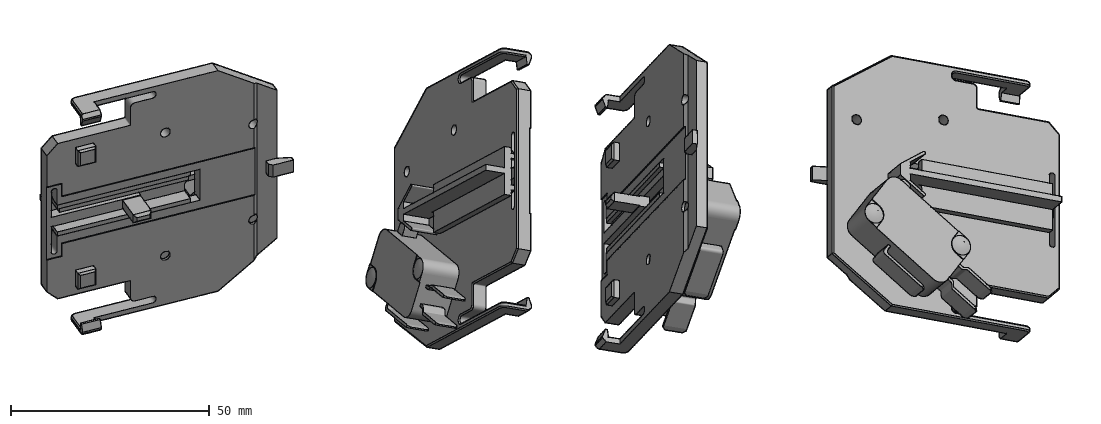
import cadquery as cq
import math


PLATE_THICK = 3.95
PLATE_LENGTH = 63.3
PLATE_HALF_HEIGHT = 34.2
WIDE_START_Y = 46.8
TAPERED_END_HALF = 22.9
NECK_LENGTH = 22.9
NECK_HALF = 24.05
NECK_CORNER = 3.0
NECK_FILLET = 0.3
SHOULDER_ROUND = 1.3
EDGE_BREAK = 0.35

ARM_THICK = 1.45
ARM_END_Y = 7.85
ARM_SLOT_WIDTH = 2.0
ARM_SLOT_END_Y = 29.9
LEG_WIDTH = 5.1
LEG_REACH = 8.6
LEG_CORNER_ROUND = 1.6
HOOK_START_X = 7.0
HOOK_DROP = 2.0
HOOK_BEVEL = 1.0
HOOK_TIP_START_X = 7.3
HOOK_TIP_END_X = 7.85

CHANNEL_HALF = 4.8
CHANNEL_END_Y = 42.0
CHANNEL_CHAMFER = 1.0
END_SLOT_WIDTH = 1.6
END_SLOT_HALF = 10.1
END_SLOT_Y = 2.15
TONGUE_HALF = 1.45
TONGUE_FRONT_X = 1.0

BACK_RECESS = 0.3
BACK_RECESS_HALF = 7.3
BACK_RECESS_WIDE_HALF = 11.25
BACK_RECESS_WIDE_LENGTH = 4.15
THIN_END_DEPTH = 0.75
THIN_END_Y = 57.8
THIN_END_RAMP = 1.1
PEG_Y = 23.3
PEG_WIDTH = 4.9
PEG_HALF_HEIGHT = 1.25
PEG_END_X = 11.2
PEG_CHAMFER = 0.7
STOP_SIZE = 4.9
STOP_Z = 19.0
STOP_HEIGHT = 2.0
STOP_CHAMFER = 0.5
TAB_END_Y = 66.8
TAB_HALF_HEIGHT = 1.9
TAB_END_X = 5.55
TAB_START_Y = 60.25
TAB_SLOPE_X = 1.1
TAB_CORNER = 0.9

SWITCH_TILT = 35.0
SWITCH_PIN_Y = 56.6
SWITCH_PIN_Z = -14.8
PIN_SPACING_U = 22.25
PIN_SPACING_V = 10.3
PIN_MARGIN = 2.7
CASE_THICK = 10.1
CASE_ROUND = 3.0
BOSS_HEIGHT = 0.2
BUTTON_START_U = 0.55
BUTTON_WIDTH = 3.0
BUTTON_TOP_V = 15.8
BUTTON_ROUND = 1.0
BUTTON_NEAR = 3.1
BUTTON_FAR = 7.15

TERMINAL_NEAR = 1.95
TERMINAL_FAR = 8.2
TERMINAL_THICK = 0.75
TERMINAL_END_U = 36.0
JOG_START_U = 26.5
JOG_LENGTH = 1.05
TIP_CHAMFER = 0.75
TIP_TAPER_LENGTH = 1.3
TIP_TAPER_DEPTH = 0.2
JOG_BEND_ROUND = 0.4
NC_ROOT_V = 6.5
NC_JOG = 1.0
NO_ROOT_V = 1.45
NO_JOG = -1.3
COM_LEG_U = 7.9
COM_END_U = 22.1
COM_LOWER_V = -5.55
COM_BEND_ROUND = 0.8

PIN_RADIUS = 1.3
RIVET_HEAD_RADIUS = 2.65
RIVET_HEAD_HEIGHT = 0.5

SLIDER_START_Y = 3.0
FLANGE_END_Y = 39.4
FLANGE_HALF = 6.3
FLANGE_THICK = 1.95
SLIDER_HEIGHT = 7.35
RIB_HALF = 0.75
RIB_FILLET = 0.8
RUNNER_WIDTH = 1.25
RUNNER_SHOULDER_DEPTH = 2.5
RUNNER_SHOULDER_Y = 4.1
HEAD_TIP_Y = 47.9
HEAD_TIP_HALF = 1.5
HEAD_INNER_Y = 45.15
HEAD_ARM_END_Y = 41.25
HEAD_ARM_THICK = 0.75
HEAD_ARM_ROUND = 0.3

MARGIN = 0.1

TILT = math.radians(SWITCH_TILT)
ARM_INNER_Z = PLATE_HALF_HEIGHT - ARM_THICK
ARM_SLOT_LOWER_Z = ARM_INNER_Z - ARM_SLOT_WIDTH
PIN_POINTS = [(0, 0), (PIN_SPACING_U, PIN_SPACING_V)]


def box(x_range, y_range, z_range):
    sizes = [high - low for low, high in (x_range, y_range, z_range)]
    return cq.Workplane().box(*sizes, centered=False).translate((x_range[0], y_range[0], z_range[0]))


def mirrored_pair(shape):
    """The shape together with its mirror image below Z = 0."""
    return shape.union(shape.mirror("XY"))


def yz_plane(x=0.0):
    """Sketch plane with axes Y and Z, extruding towards +X."""
    return cq.Workplane("YZ", origin=(x, 0, 0))


def switch_plane(height=0.0):
    """Sketch plane at a height above the plate, with U along the switch, extruding towards -X."""
    along = (0, -math.cos(TILT), -math.sin(TILT))
    return cq.Workplane(cq.Plane((-height, SWITCH_PIN_Y, SWITCH_PIN_Z), along, (-1, 0, 0)))


def nearest_in_switch(u, v, height):
    """Selector for the item nearest to a point given in the switch frame."""
    point = switch_plane().plane.toWorldCoords((u, v, height))
    return cq.selectors.NearestToPointSelector(point.toTuple())


def pin_cylinders(bottom, top):
    return switch_plane(bottom).pushPoints(PIN_POINTS).circle(PIN_RADIUS).extrude(top - bottom)


def arm_leg():
    """Leg that turns an arm towards +X, ending in an inward snap hook."""
    tip_z = ARM_INNER_Z - HOOK_DROP
    profile = [
        (0, ARM_INNER_Z),
        (0, PLATE_HALF_HEIGHT),
        (LEG_REACH - HOOK_BEVEL, PLATE_HALF_HEIGHT),
        (LEG_REACH, PLATE_HALF_HEIGHT - HOOK_BEVEL),
        (LEG_REACH, ARM_INNER_Z),
        (HOOK_TIP_END_X, tip_z),
        (HOOK_TIP_START_X, tip_z),
        (HOOK_START_X, ARM_INNER_Z),
    ]
    return cq.Workplane("XZ", origin=(0, ARM_END_Y, 0)).polyline(profile).close().extrude(-LEG_WIDTH)


def plate_blank():
    """Plate outline with its two arms, edges broken on the front."""
    end_round = ARM_SLOT_WIDTH / 2
    slot_centre_y = ARM_SLOT_END_Y - end_round
    upper_half = (
        yz_plane()
        .moveTo(0, 0)
        .lineTo(0, NECK_HALF - NECK_CORNER)
        .lineTo(NECK_CORNER, NECK_HALF)
        .lineTo(NECK_LENGTH, NECK_HALF)
        .lineTo(NECK_LENGTH, ARM_SLOT_LOWER_Z - SHOULDER_ROUND)
        .radiusArc((NECK_LENGTH + SHOULDER_ROUND, ARM_SLOT_LOWER_Z), SHOULDER_ROUND)
        .lineTo(slot_centre_y, ARM_SLOT_LOWER_Z)
        .threePointArc((ARM_SLOT_END_Y, ARM_SLOT_LOWER_Z + end_round), (slot_centre_y, ARM_INNER_Z))
        .lineTo(ARM_END_Y, ARM_INNER_Z)
        .lineTo(ARM_END_Y, PLATE_HALF_HEIGHT)
        .lineTo(WIDE_START_Y, PLATE_HALF_HEIGHT)
        .lineTo(PLATE_LENGTH, TAPERED_END_HALF)
        .lineTo(PLATE_LENGTH, 0)
        .close()
        .extrude(PLATE_THICK)
    )
    neck_corner = cq.selectors.NearestToPointSelector((PLATE_THICK / 2, NECK_LENGTH, NECK_HALF))
    upper_half = upper_half.edges(neck_corner).fillet(NECK_FILLET).union(arm_leg())
    arm_corner = cq.selectors.NearestToPointSelector((0, ARM_END_Y, PLATE_HALF_HEIGHT - ARM_THICK / 2))
    upper_half = upper_half.edges(arm_corner).fillet(LEG_CORNER_ROUND)
    blank = mirrored_pair(upper_half).clean()
    bend_y = ARM_END_Y + LEG_CORNER_ROUND
    bend_lines = cq.selectors.BoxSelector(
        (-MARGIN, bend_y - MARGIN, -PLATE_HALF_HEIGHT), (MARGIN, bend_y + MARGIN, PLATE_HALF_HEIGHT)
    )
    sharp_edges = cq.selectors.SubtractSelector(cq.StringSyntaxSelector("<X"), bend_lines)
    return blank.faces("<X").edges().edges(sharp_edges).chamfer(EDGE_BREAK)


def guide_cutouts():
    """Chamfered slider channel opening into the rounded end slot."""
    top = CHANNEL_HALF + CHANNEL_CHAMFER
    profile = [
        (0, -top),
        (0, top),
        (CHANNEL_CHAMFER, CHANNEL_HALF),
        (PLATE_THICK, CHANNEL_HALF),
        (PLATE_THICK, -CHANNEL_HALF),
        (CHANNEL_CHAMFER, -CHANNEL_HALF),
    ]
    channel_length = CHANNEL_END_Y - END_SLOT_Y
    channel = cq.Workplane("XZ", origin=(0, END_SLOT_Y, 0)).polyline(profile).close().extrude(-channel_length)
    slot = (
        yz_plane()
        .center(END_SLOT_Y, 0)
        .slot2D(2 * END_SLOT_HALF, END_SLOT_WIDTH, 90)
        .extrude(PLATE_THICK)
    )
    return channel.union(slot)


def back_cutouts():
    """Shallow recess along the back and the thinned far end with its ramp."""
    floor_x = PLATE_THICK - BACK_RECESS
    depth = (floor_x, PLATE_THICK)
    long_recess = box(depth, (0, PLATE_LENGTH), (-BACK_RECESS_HALF, BACK_RECESS_HALF))
    wide_recess = box(depth, (0, BACK_RECESS_WIDE_LENGTH), (-BACK_RECESS_WIDE_HALF, BACK_RECESS_WIDE_HALF))
    thin_x = PLATE_THICK - THIN_END_DEPTH
    thin_end = (
        cq.Workplane("XY", origin=(0, 0, -PLATE_HALF_HEIGHT))
        .polyline([
            (PLATE_THICK, THIN_END_Y - THIN_END_RAMP),
            (thin_x, THIN_END_Y),
            (thin_x, PLATE_LENGTH),
            (PLATE_THICK, PLATE_LENGTH),
        ])
        .close()
        .extrude(2 * PLATE_HALF_HEIGHT)
    )
    return long_recess.union(wide_recess).union(thin_end)


def tongue_with_peg():
    """Central tongue in the channel, rooted across the end slot and carrying the peg."""
    peg_end_y = PEG_Y + PEG_WIDTH / 2
    root_y = END_SLOT_Y - END_SLOT_WIDTH / 2
    tongue = box(
        (TONGUE_FRONT_X, PLATE_THICK - BACK_RECESS), (root_y, peg_end_y), (-TONGUE_HALF, TONGUE_HALF)
    )
    peg = box(
        (TONGUE_FRONT_X, PEG_END_X),
        (PEG_Y - PEG_WIDTH / 2, peg_end_y),
        (-PEG_HALF_HEIGHT, PEG_HALF_HEIGHT),
    )
    return tongue.union(peg.faces(">X").chamfer(PEG_CHAMFER))


def back_stops():
    stop = box(
        (PLATE_THICK, PLATE_THICK + STOP_HEIGHT),
        (ARM_END_Y, ARM_END_Y + STOP_SIZE),
        (STOP_Z - STOP_SIZE / 2, STOP_Z + STOP_SIZE / 2),
    )
    return mirrored_pair(stop.faces(">X").chamfer(STOP_CHAMFER))


def end_tab():
    """Tab on the back of the thinned end, reaching past the plate."""
    thin_x = PLATE_THICK - THIN_END_DEPTH
    return (
        cq.Workplane("XY", origin=(0, 0, -TAB_HALF_HEIGHT))
        .polyline([
            (thin_x, TAB_START_Y),
            (thin_x, PLATE_LENGTH),
            (thin_x + TAB_SLOPE_X, TAB_END_Y),
            (TAB_END_X, TAB_END_Y),
            (TAB_END_X, TAB_START_Y + TAB_CORNER),
            (TAB_END_X - TAB_CORNER, TAB_START_Y),
        ])
        .close()
        .extrude(2 * TAB_HALF_HEIGHT)
    )


def make_plate():
    holes = mirrored_pair(pin_cylinders(-PLATE_THICK, 0))
    plate = plate_blank().cut(guide_cutouts()).cut(back_cutouts()).cut(holes)
    return plate.union(tongue_with_peg()).union(back_stops()).union(end_tab())


def slider_head():
    """Arrow-shaped head whose two arms slope at the tilt of the switch."""
    slope = math.tan(TILT)
    arm_end_z = HEAD_TIP_HALF + slope * (HEAD_TIP_Y - HEAD_ARM_END_Y)
    arm_gap_z = HEAD_ARM_THICK / math.cos(TILT)
    inner_z = HEAD_TIP_HALF + slope * (HEAD_TIP_Y - HEAD_INNER_Y) - arm_gap_z
    upper_half = (
        yz_plane(-SLIDER_HEIGHT)
        .polyline([
            (HEAD_TIP_Y, 0),
            (HEAD_TIP_Y, HEAD_TIP_HALF),
            (HEAD_ARM_END_Y, arm_end_z),
            (HEAD_ARM_END_Y - HEAD_ARM_THICK * math.sin(TILT), arm_end_z - HEAD_ARM_THICK * math.cos(TILT)),
            (HEAD_INNER_Y, inner_z),
            (HEAD_INNER_Y, 0),
        ])
        .close()
        .extrude(SLIDER_HEIGHT)
    )
    arm_end = cq.selectors.BoxSelector(
        (-SLIDER_HEIGHT, HEAD_ARM_END_Y - HEAD_ARM_THICK, arm_end_z - HEAD_ARM_THICK),
        (0, HEAD_ARM_END_Y + MARGIN, arm_end_z + MARGIN),
    )
    upper_half = upper_half.edges("|X").edges(arm_end).fillet(HEAD_ARM_ROUND)
    return mirrored_pair(upper_half)


def make_slider():
    flange = box((-FLANGE_THICK, 0), (SLIDER_START_Y, FLANGE_END_Y), (-FLANGE_HALF, FLANGE_HALF))
    rib = box((-SLIDER_HEIGHT, 0), (SLIDER_START_Y, HEAD_INNER_Y), (-RIB_HALF, RIB_HALF))
    body = flange.union(rib)
    for side in (-1, 1):
        corner = (-FLANGE_THICK / 2, FLANGE_END_Y, side * RIB_HALF)
        body = body.edges(cq.selectors.NearestToPointSelector(corner)).fillet(RIB_FILLET)
    runner = box(
        (0, PLATE_THICK - BACK_RECESS),
        (SLIDER_START_Y, FLANGE_END_Y),
        (CHANNEL_HALF - RUNNER_WIDTH, CHANNEL_HALF),
    )
    shoulder = box(
        (0, RUNNER_SHOULDER_DEPTH),
        (RUNNER_SHOULDER_Y, FLANGE_END_Y),
        (TONGUE_HALF, CHANNEL_HALF - RUNNER_WIDTH),
    )
    return body.union(slider_head()).union(mirrored_pair(runner)).union(shoulder)


def case_block():
    """Rounded case block."""
    length = PIN_SPACING_U + 2 * PIN_MARGIN
    width = PIN_SPACING_V + 2 * PIN_MARGIN
    middle = (PIN_SPACING_U / 2, PIN_SPACING_V / 2)
    case = switch_plane().center(*middle).rect(length, width).extrude(CASE_THICK)
    return case.edges("|X").fillet(CASE_ROUND)


def pin_bosses():
    """Low pads around the pins, rounded on the inner corner and flush with the case sides."""
    pads = (
        switch_plane()
        .pushPoints(PIN_POINTS)
        .rect(2 * PIN_MARGIN, 2 * PIN_MARGIN)
        .extrude(CASE_THICK + BOSS_HEIGHT)
    )
    inner = [(PIN_MARGIN, PIN_MARGIN), (PIN_SPACING_U - PIN_MARGIN, PIN_SPACING_V - PIN_MARGIN)]
    outer = [(-PIN_MARGIN, -PIN_MARGIN), (PIN_SPACING_U + PIN_MARGIN, PIN_SPACING_V + PIN_MARGIN)]
    for u, v in inner + outer:
        pads = pads.edges(nearest_in_switch(u, v, CASE_THICK / 2)).fillet(CASE_ROUND)
    return pads


def button():
    base_v = PIN_SPACING_V
    end_u = BUTTON_START_U + BUTTON_WIDTH
    return (
        switch_plane(BUTTON_NEAR)
        .moveTo(BUTTON_START_U, base_v)
        .lineTo(BUTTON_START_U, BUTTON_TOP_V - BUTTON_ROUND)
        .radiusArc((BUTTON_START_U + BUTTON_ROUND, BUTTON_TOP_V), BUTTON_ROUND)
        .lineTo(end_u - BUTTON_ROUND, BUTTON_TOP_V)
        .radiusArc((end_u, BUTTON_TOP_V - BUTTON_ROUND), BUTTON_ROUND)
        .lineTo(end_u, base_v)
        .close()
        .extrude(BUTTON_FAR - BUTTON_NEAR)
    )


def terminal(root, tip_u, tip_v, bends, bend_round):
    """Flat terminal with a tapered tip.

    root holds the strip's points at the case, bends the points where it turns, both as
    (lower side, upper side); tip_v is the lower side of the straight end.
    """
    taper_u = tip_u - TIP_TAPER_LENGTH
    upper_v = tip_v + TERMINAL_THICK
    tip = [
        (taper_u, tip_v),
        (tip_u, tip_v + TIP_TAPER_DEPTH),
        (tip_u, upper_v - TIP_TAPER_DEPTH),
        (taper_u, upper_v),
    ]
    lower_bends, upper_bends = bends
    profile = [root[0], *lower_bends, *tip, *reversed(upper_bends), root[1]]
    strip = switch_plane(TERMINAL_NEAR).polyline(profile).close().extrude(TERMINAL_FAR - TERMINAL_NEAR)
    middle_height = (TERMINAL_NEAR + TERMINAL_FAR) / 2
    for u, v in lower_bends + upper_bends:
        strip = strip.edges(nearest_in_switch(u, v, middle_height)).fillet(bend_round)
    for height in (TERMINAL_NEAR, TERMINAL_FAR):
        tip_corner = nearest_in_switch(tip_u, tip_v + TERMINAL_THICK / 2, height)
        strip = strip.edges(tip_corner).chamfer(TIP_CHAMFER)
    return strip


def jogged_terminal(root_v, jog):
    """Terminal leaving the end of the case and stepping sideways once."""
    lower_bends = [(JOG_START_U, root_v), (JOG_START_U + JOG_LENGTH, root_v + jog)]
    upper_bends = [(u, v + TERMINAL_THICK) for u, v in lower_bends]
    root = [(PIN_SPACING_U, root_v), (PIN_SPACING_U, root_v + TERMINAL_THICK)]
    return terminal(root, TERMINAL_END_U, root_v + jog, (lower_bends, upper_bends), JOG_BEND_ROUND)


def common_terminal():
    """L-shaped terminal leaving the long side of the case."""
    inner_u = COM_LEG_U + TERMINAL_THICK
    root = [(COM_LEG_U, 0), (inner_u, 0)]
    lower_bends = [(COM_LEG_U, COM_LOWER_V)]
    upper_bends = [(inner_u, COM_LOWER_V + TERMINAL_THICK)]
    return terminal(root, COM_END_U, COM_LOWER_V, (lower_bends, upper_bends), COM_BEND_ROUND)


def make_switch():
    switch = case_block().union(pin_bosses()).union(button())
    switch = switch.union(jogged_terminal(NC_ROOT_V, NC_JOG)).union(jogged_terminal(NO_ROOT_V, NO_JOG))
    switch = switch.union(common_terminal())
    return switch.cut(pin_cylinders(0, CASE_THICK + BOSS_HEIGHT))


def make_rivet(u, v):
    """Rivet through the switch and the plate, with a shallow domed head."""
    seat = CASE_THICK + BOSS_HEIGHT
    shank_end = THIN_END_DEPTH - PLATE_THICK
    middle_radius = RIVET_HEAD_RADIUS / 2
    sphere_radius = (RIVET_HEAD_RADIUS**2 + RIVET_HEAD_HEIGHT**2) / (2 * RIVET_HEAD_HEIGHT)
    middle_height = RIVET_HEAD_HEIGHT - sphere_radius + math.sqrt(sphere_radius**2 - middle_radius**2)
    rivet = (
        cq.Workplane("XY")
        .moveTo(0, shank_end)
        .lineTo(PIN_RADIUS, shank_end)
        .lineTo(PIN_RADIUS, seat)
        .lineTo(RIVET_HEAD_RADIUS, seat)
        .threePointArc((middle_radius, seat + middle_height), (0, seat + RIVET_HEAD_HEIGHT))
        .close()
        .revolve(360, (0, 0), (0, 1))
    )
    centre = switch_plane().plane.toWorldCoords((u, v))
    return rivet.rotate((0, 0, 0), (0, 0, 1), 90).translate(centre)


plate = make_plate()
slider = make_slider()
switch = make_switch()
rivets = [make_rivet(u, v) for u, v in PIN_POINTS]

result = cq.Compound.makeCompound([
    plate.val(),
    slider.val(),
    switch.val(),
    *[rivet.val() for rivet in rivets],
])